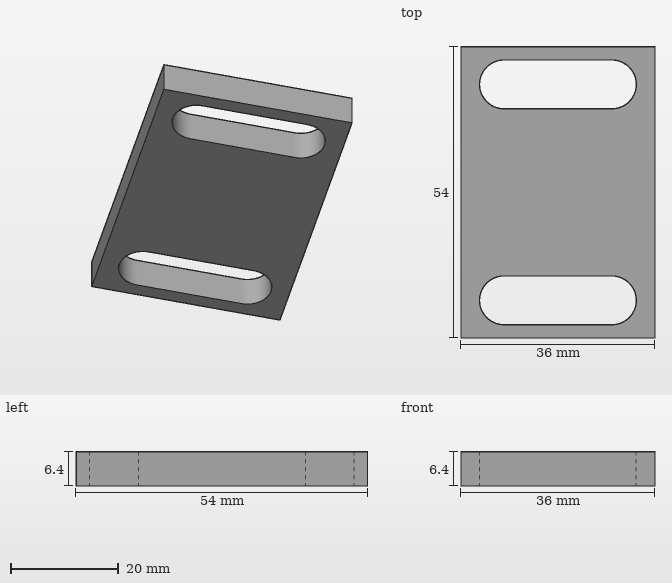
import cadquery as cq

plate_width = 36.0
plate_length = 54.0
plate_thickness = 6.4

slot_length = 29.0
slot_width = 9.0
slot_spacing = 40.0


def make_plate():
    """Rectangular plate centred on the origin."""
    return cq.Workplane("XY").box(plate_width, plate_length, plate_thickness)


def cut_slots(body):
    """Cut both round-ended slots through the full thickness."""
    slot_centres = [(0, -slot_spacing / 2), (0, slot_spacing / 2)]
    return (
        body.faces(">Z")
        .workplane()
        .pushPoints(slot_centres)
        .slot2D(slot_length, slot_width)
        .cutThruAll()
    )


result = cut_slots(make_plate())